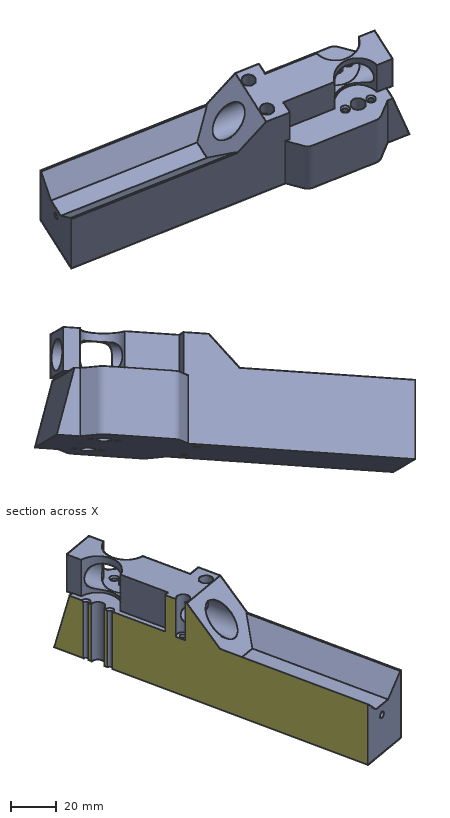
import cadquery as cq
import math

LENGTH = 165.1
HEIGHT = 49.5
BODY_WIDTH = 30.0

HUB_WIDTH = 45.0
HUB_FRONT = 104.5
HUB_BACK = 154.4
HUB_CORNER_RADIUS = 5
SHELF_Z = 30.4
SHELF_FRONT = 106.7

SPINE_WIDTH = 17.5
SPINE_BACK = 160.0
OVERHANG_Z = 30.0
BACK_SLOPE_ANGLE = 15

RAMP_TOP_Y = 95.1
TROUGH_FLOOR_Z = 25.8
TROUGH_FLOOR_WIDTH = 9.4
TROUGH_RIM_Z = 35.3

BORE_DIAMETER = 14.0
BORE_Z = 38.8

POST_X = 11.0
POST_Y = 142
POST_DIAMETER = 6.6
POST_CLEARANCE_RADIUS = 10.5
SHELF_SCREW_OFFSET = 6.3
SHELF_SCREW_DIAMETER = 2.5
SHELF_SCREW_HEAD_DIAMETER = 4.1
SHELF_SCREW_HEAD_ANGLE = 90

BODY_SCREW_X = 8.9
BODY_SCREW_Y = 98.5
BODY_SCREW_DIAMETER = 3.1
BODY_SCREW_HEAD_DIAMETER = 6.3
BODY_SCREW_HEAD_DEPTH = 19.8
PILOT_DIAMETER = 3.1
PILOT_Z = 20.3
PILOT_DEPTH = 19.8


def box(width, y_front, y_back, z_bottom, z_top):
    """Box centred on X = 0, given by its X width and its Y and Z limits."""
    return (
        cq.Workplane("XY", origin=(0, (y_front + y_back) / 2, z_bottom))
        .rect(width, y_back - y_front)
        .extrude(z_top - z_bottom)
    )


def upright_cylinder(x, y, diameter, z_bottom, z_top):
    return (
        cq.Workplane("XY", origin=(x, y, z_bottom))
        .circle(diameter / 2)
        .extrude(z_top - z_bottom)
    )


def cylinder_along_y(z, diameter, depth):
    """Cylinder running back from the front face."""
    return (
        cq.Workplane("XZ", origin=(0, 0, z))
        .circle(diameter / 2)
        .extrude(-depth)
    )


def counterbored_hole(x, y, z_top, diameter, head_diameter, head_depth):
    """Cutter for a through hole with a screw-head recess at z_top."""
    shank = upright_cylinder(x, y, diameter, 0, z_top)
    head = upright_cylinder(x, y, head_diameter, z_top - head_depth, z_top)
    return shank.union(head)


def countersunk_hole(x, y, z_top, diameter, head_diameter, head_angle):
    """Cutter for a through hole with a conical screw-head recess at z_top."""
    shank = upright_cylinder(x, y, diameter, 0, z_top)
    head_radius = head_diameter / 2
    cone_height = head_radius / math.tan(math.radians(head_angle / 2))
    head = cq.Workplane(cq.Solid.makeCone(
        head_radius, 0, cone_height, pnt=cq.Vector(x, y, z_top), dir=cq.Vector(0, 0, -1)
    ))
    return shank.union(head)


def make_body():
    """Central block with the back slope undercutting the spine."""
    slope_run = SHELF_Z * math.tan(math.radians(BACK_SLOPE_ANGLE))
    shelf_back = LENGTH - slope_run
    base = (
        cq.Workplane("YZ")
        .polyline([(0, 0), (LENGTH, 0), (shelf_back, SHELF_Z), (0, SHELF_Z)])
        .close()
        .extrude(BODY_WIDTH / 2, both=True)
    )
    front_top = box(BODY_WIDTH, 0, SHELF_FRONT, SHELF_Z, HEIGHT)
    spine = box(SPINE_WIDTH, SHELF_FRONT, SPINE_BACK, OVERHANG_Z, HEIGHT)
    return base.union(front_top).union(spine)


def make_hub():
    """Wide plate with 45-degree corners, rounded where they meet the sides."""
    chamfer = (HUB_WIDTH - BODY_WIDTH) / 2
    return (
        box(HUB_WIDTH, HUB_FRONT, HUB_BACK, 0, SHELF_Z)
        .edges("|Z")
        .chamfer(chamfer)
        .edges("|Z and (<X or >X)")
        .fillet(HUB_CORNER_RADIUS)
    )


def ramp_and_trough_cutter():
    """V-sided trough open at the front, ending at a 45-degree ramp."""
    floor_half = TROUGH_FLOOR_WIDTH / 2
    rim_half = floor_half + TROUGH_RIM_Z - TROUGH_FLOOR_Z
    side = BODY_WIDTH / 2
    section = (
        cq.Workplane("XZ")
        .polyline([
            (-side, HEIGHT), (-side, TROUGH_RIM_Z), (-rim_half, TROUGH_RIM_Z),
            (-floor_half, TROUGH_FLOOR_Z), (floor_half, TROUGH_FLOOR_Z),
            (rim_half, TROUGH_RIM_Z), (side, TROUGH_RIM_Z), (side, HEIGHT),
        ])
        .close()
        .extrude(-RAMP_TOP_Y)
    )
    ramp_foot_y = RAMP_TOP_Y - (HEIGHT - TROUGH_FLOOR_Z)
    in_front_of_ramp = (
        cq.Workplane("YZ")
        .polyline([
            (0, TROUGH_FLOOR_Z), (ramp_foot_y, TROUGH_FLOOR_Z),
            (RAMP_TOP_Y, HEIGHT), (0, HEIGHT),
        ])
        .close()
        .extrude(side, both=True)
    )
    return section.intersect(in_front_of_ramp)


result = make_body().union(make_hub()).cut(ramp_and_trough_cutter())
result = result.cut(cylinder_along_y(BORE_Z, BORE_DIAMETER, LENGTH))
result = result.cut(cylinder_along_y(PILOT_Z, PILOT_DIAMETER, PILOT_DEPTH))

for side_sign in (-1, 1):
    post_x = side_sign * POST_X
    result = result.cut(
        upright_cylinder(post_x, POST_Y, 2 * POST_CLEARANCE_RADIUS, SHELF_Z, HEIGHT)
    )
    result = result.cut(upright_cylinder(post_x, POST_Y, POST_DIAMETER, 0, SHELF_Z))
    for screw_offset in (-SHELF_SCREW_OFFSET, SHELF_SCREW_OFFSET):
        result = result.cut(countersunk_hole(
            post_x, POST_Y + screw_offset, SHELF_Z,
            SHELF_SCREW_DIAMETER, SHELF_SCREW_HEAD_DIAMETER, SHELF_SCREW_HEAD_ANGLE,
        ))
    result = result.cut(counterbored_hole(
        side_sign * BODY_SCREW_X, BODY_SCREW_Y, HEIGHT,
        BODY_SCREW_DIAMETER, BODY_SCREW_HEAD_DIAMETER, BODY_SCREW_HEAD_DEPTH,
    ))